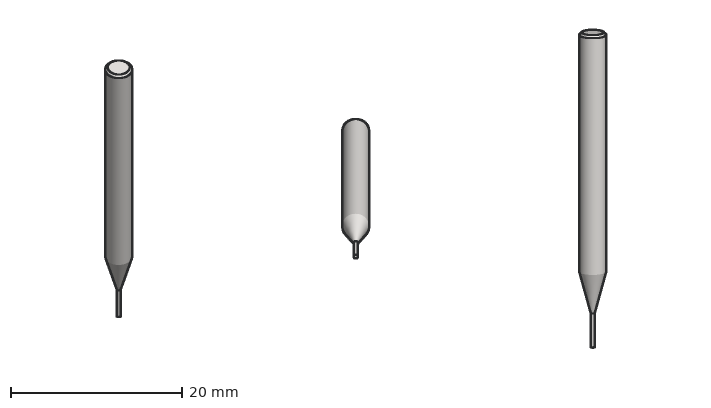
import cadquery as cq
import math

overall_length = 38.1
shank_diameter = 3.175
end_chamfer = 0.3

drill_diameter = 0.5
drill_length = 4.2
point_angle = 130.0
neck_angle = 30.0

shank_radius = shank_diameter / 2
drill_radius = drill_diameter / 2
point_height = drill_radius / math.tan(math.radians(point_angle / 2))
neck_length = (shank_radius - drill_radius) / math.tan(math.radians(neck_angle / 2))
neck_top = drill_length + neck_length


def revolve_outline(points):
    """Revolve a closed (radius, height) outline a full turn about the Z axis."""
    return cq.Workplane("XZ").polyline(points).close().revolve(360, (0, 0), (0, 1))


def make_shank():
    """Cylindrical shank with a chamfered top end, tapering down to the drill diameter."""
    return revolve_outline([
        (0, drill_length),
        (drill_radius, drill_length),
        (shank_radius, neck_top),
        (shank_radius, overall_length - end_chamfer),
        (shank_radius - end_chamfer, overall_length),
        (0, overall_length),
    ])


def make_drill():
    """Round drill with a conical point, butting against the small end of the neck."""
    return revolve_outline([
        (0, 0),
        (drill_radius, point_height),
        (drill_radius, drill_length),
        (0, drill_length),
    ])


shank = make_shank()
drill = make_drill()

result = cq.Compound.makeCompound([shank.val(), drill.val()])